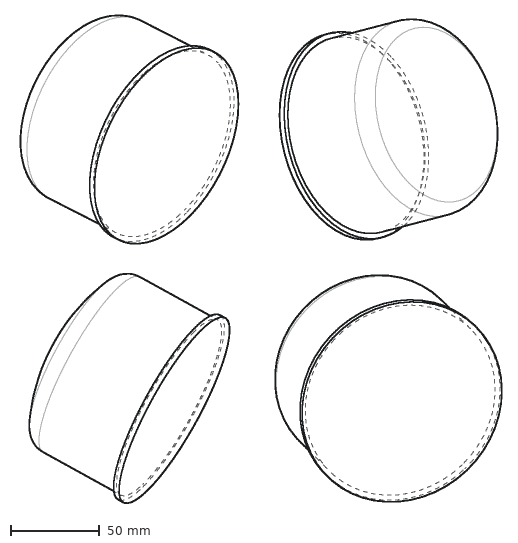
import cadquery as cq
import math

flange_diameter = 119.0
flange_thickness = 3.7
body_diameter = 113.0
total_length = 77.0

crown_radius = body_diameter
knuckle_radius = body_diameter / 10

body_radius = body_diameter / 2
flange_radius = flange_diameter / 2
flange_start = total_length - flange_thickness
knuckle_center_radius = body_radius - knuckle_radius
tangent_angle = math.asin(knuckle_center_radius / (crown_radius - knuckle_radius))
knuckle_center_x = crown_radius - (crown_radius - knuckle_radius) * math.cos(tangent_angle)


def crown_point(angle):
    """Point (x, radius) on the crown at an angle from the axis."""
    return (crown_radius * (1 - math.cos(angle)), crown_radius * math.sin(angle))


def knuckle_point(angle):
    """Point (x, radius) on the knuckle at an angle from the axis."""
    return (
        knuckle_center_x - knuckle_radius * math.cos(angle),
        knuckle_center_radius + knuckle_radius * math.sin(angle),
    )


profile = (
    cq.Workplane("XY")
    .moveTo(0, 0)
    .threePointArc(crown_point(tangent_angle / 2), crown_point(tangent_angle))
    .threePointArc(
        knuckle_point((tangent_angle + math.pi / 2) / 2),
        (knuckle_center_x, body_radius),
    )
    .lineTo(flange_start, body_radius)
    .lineTo(flange_start, flange_radius)
    .lineTo(total_length, flange_radius)
    .lineTo(total_length, 0)
    .close()
)

result = profile.revolve(360, (0, 0, 0), (1, 0, 0))